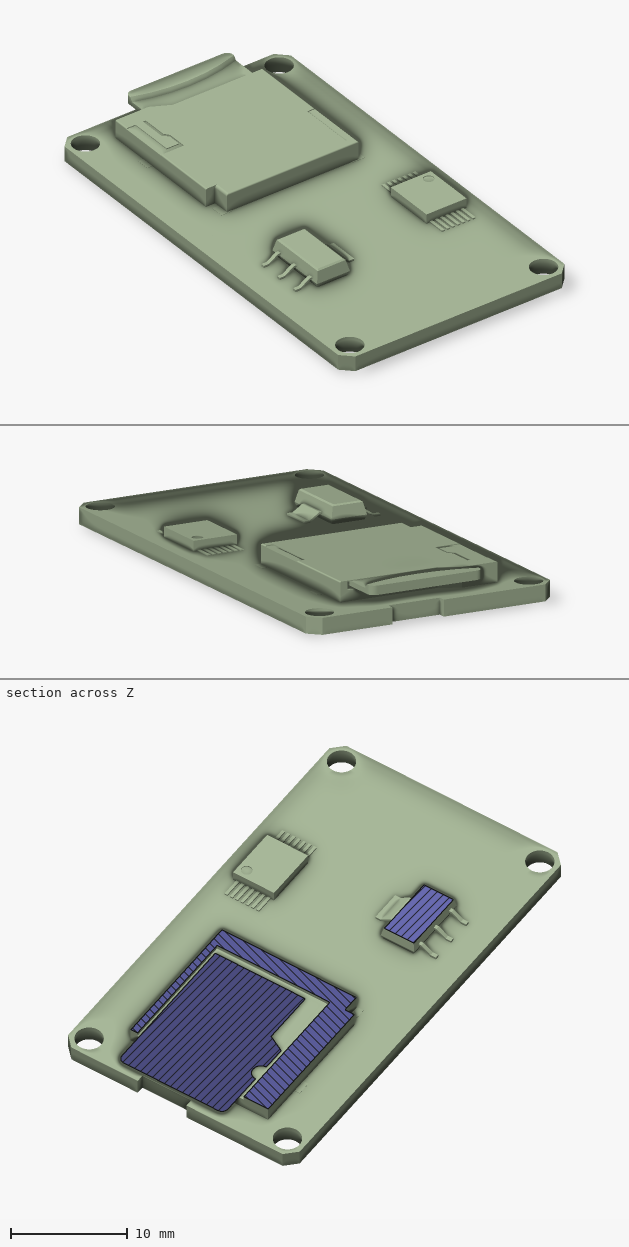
import cadquery as cq
import math

BOARD_LENGTH = 42.0
BOARD_WIDTH = 24.0
BOARD_THICKNESS = 1.5
BOARD_CORNER = 1.05
HOLE_DIAMETER = 2.5
HOLE_INSET = 1.72
NOTCH_DEPTH = 0.7
NOTCH_WIDTH = 5.05
NOTCH_Y = 1.55

PAD_COUNT = 6
PAD_DIAMETER = 1.3
PAD_HEIGHT = 0.3
PAD_PITCH = 2.6
PAD_X = 17.47
PAD_ROW_Y = -0.3

CHIP_LENGTH = 5.2
CHIP_WIDTH = 4.25
CHIP_HEIGHT = 0.95
CHIP_X = 5.38
CHIP_Y = 8.2
CHIP_LEAD_COUNT = 7
CHIP_LEAD_SPAN = 8.8
CHIP_LEAD_WIDTH = 0.3
CHIP_LEAD_HEIGHT = 0.13
CHIP_LEAD_PITCH = 0.55
CHIP_MARK_DIAMETER = 1.0
CHIP_MARK_INSET = 0.85
CHIP_MARK_DEPTH = 0.1

REG_X = 7.45
REG_Y = -5.75
REG_LENGTH = 6.5
REG_WIDTH = 3.5
REG_HEIGHT = 1.75
REG_SEAM_HEIGHT = 0.55
REG_CLEARANCE = 0.1
REG_TOP_INSET = 0.3
REG_BOTTOM_INSET = 0.15
REG_CHAMFER = 0.13
REG_LEAD_COUNT = 3
REG_LEAD_PITCH = 2.3
REG_LEAD_WIDTH = 0.38
REG_TAB_WIDTH = 3.02
LEAD_REACH = 1.72
LEAD_FOOT = 0.55
LEAD_SLOPE = 0.95
LEAD_RISE = 0.65
LEAD_THICKNESS = 0.2

SOCKET_RIGHT = -3.53
SOCKET_FRONT_X = -17.47
SOCKET_NOSE_X = -18.45
SOCKET_BACK_Y = 7.22
SOCKET_FRONT_Y = -7.7
NOSE_TOP_Y = -2.3
NOSE_BOTTOM_Y = -4.2
SOCKET_HEIGHT = 1.85
LID_THICKNESS = 0.1
LID_BEND = 0.13
CAVITY_FLOOR = 1.0
CAVITY_BACK_Y = 6.5
CAVITY_FRONT_Y = -5.12
CAVITY_END_X = -5.3
RECESS_LEFT = -9.85
RECESS_RIGHT = -4.3
RECESS_WIDTH = 0.8
TONGUE_ROOT_X = -16.85
TONGUE_TIP_X = -12.3
TONGUE_FRONT_Y = -6.7
TONGUE_BACK_Y = -5.92
TONGUE_JOG_X = -14.15
TONGUE_JOG = 0.5
SLIT_ROOT_WIDTH = 0.3
SLIT_BACK_WIDTH = 0.15
SLIT_TIP_WIDTH = 0.5
STEP_LENGTH = 1.72
STEP_WIDTH = 0.95
STEP_BEND = 0.25
TAB_WIDTH = 1.35
TAB_HEIGHT = 0.02
TAB_LEFT_X = -13.75
TAB_RIGHT_X = -4.07
TAB_BACK_Y = 7.8
TAB_FRONT_LEFT_Y = -8.25
TAB_FRONT_RIGHT_Y = -7.4
TAB_ROOT = 1.25

CARD_LENGTH = 14.9
CARD_BACK_Y = 6.17
CARD_FRONT_Y = -4.85
CARD_BOTTOM = 1.3
LIP_TOP = 2.15
CARD_CORNER = 0.65
CARD_NARROW_WIDTH = 9.35
LIP_EDGE_X = 0.75
LIP_BULGE = 0.9
LIP_SLOPE = 0.3
CARD_NARROW_START = 8.78
CARD_SHOULDER = 0.9
CARD_NOTCH_X = -15.35
CARD_NOTCH_RADIUS = 0.8

board_left = -BOARD_LENGTH / 2


def box(x_min, x_max, y_min, y_max, z_min, z_max):
    """Block between the given limits along each axis."""
    return cq.Workplane("XY").box(
        x_max - x_min, y_max - y_min, z_max - z_min, centered=False
    ).translate((x_min, y_min, z_min))


def make_bare_board():
    """Drilled board with its top face at Z = 0."""
    board = cq.Workplane("XY").box(
        BOARD_LENGTH, BOARD_WIDTH, BOARD_THICKNESS, centered=(True, True, False)
    ).translate((0, 0, -BOARD_THICKNESS))
    board = board.edges("|Z").chamfer(BOARD_CORNER)
    board = board.faces(">Z").workplane(origin=(0, 0, 0)).rect(
        BOARD_LENGTH - 2 * HOLE_INSET, BOARD_WIDTH - 2 * HOLE_INSET, forConstruction=True
    ).vertices().hole(HOLE_DIAMETER)
    notch = box(
        board_left, board_left + NOTCH_DEPTH,
        NOTCH_Y - NOTCH_WIDTH / 2, NOTCH_Y + NOTCH_WIDTH / 2,
        -BOARD_THICKNESS, 0,
    )
    return board.cut(notch)


def make_pads():
    return cq.Workplane("XY").center(PAD_X, PAD_ROW_Y).rarray(0.4, PAD_PITCH, 1, PAD_COUNT).circle(
        PAD_DIAMETER / 2
    ).extrude(-PAD_HEIGHT).translate((0, 0, -BOARD_THICKNESS))


def make_chip():
    at_chip = cq.Workplane("XY").center(CHIP_X, CHIP_Y)
    body = at_chip.rect(CHIP_LENGTH, CHIP_WIDTH).extrude(CHIP_HEIGHT)
    leads = at_chip.rarray(0.4, CHIP_LEAD_PITCH, 1, CHIP_LEAD_COUNT).rect(
        CHIP_LEAD_SPAN, CHIP_LEAD_WIDTH
    ).extrude(CHIP_LEAD_HEIGHT)
    mark = at_chip.center(
        CHIP_MARK_INSET - CHIP_LENGTH / 2, CHIP_WIDTH / 2 - CHIP_MARK_INSET
    ).circle(CHIP_MARK_DIAMETER / 2).extrude(CHIP_MARK_DEPTH)
    mark = mark.translate((0, 0, CHIP_HEIGHT - CHIP_MARK_DEPTH))
    return body.union(leads).cut(mark)


def make_regulator_lead(width, x, root_y, outward):
    """Gull-wing lead; outward is +1 toward +Y and -1 toward -Y."""
    slope_end = LEAD_REACH - LEAD_FOOT
    slope_start = slope_end - LEAD_SLOPE
    profile = [
        (-LEAD_THICKNESS, LEAD_RISE),
        (slope_start, LEAD_RISE),
        (slope_end, 0),
        (LEAD_REACH, 0),
        (LEAD_REACH, LEAD_THICKNESS),
        (slope_end, LEAD_THICKNESS),
        (slope_start, LEAD_RISE + LEAD_THICKNESS),
        (-LEAD_THICKNESS, LEAD_RISE + LEAD_THICKNESS),
    ]
    points = [(root_y + outward * reach, height) for reach, height in profile]
    return cq.Workplane("YZ").polyline(points).close().extrude(width / 2, both=True).translate((x, 0, 0))


def make_regulator():
    def frustum(inset, z_end):
        """Half of the body, tapering from the seam to z_end."""
        return cq.Workplane("XY").workplane(offset=REG_SEAM_HEIGHT).center(REG_X, REG_Y).rect(
            REG_LENGTH, REG_WIDTH
        ).workplane(offset=z_end - REG_SEAM_HEIGHT).rect(
            REG_LENGTH - 2 * inset, REG_WIDTH - 2 * inset
        ).loft(ruled=True)

    upper = frustum(REG_TOP_INSET, REG_HEIGHT).faces(">Z").chamfer(REG_CHAMFER)
    regulator = upper.union(frustum(REG_BOTTOM_INSET, REG_CLEARANCE))
    for index in range(REG_LEAD_COUNT):
        x = REG_X + (index - (REG_LEAD_COUNT - 1) / 2) * REG_LEAD_PITCH
        regulator = regulator.union(
            make_regulator_lead(REG_LEAD_WIDTH, x, REG_Y - REG_WIDTH / 2, -1)
        )
    return regulator.union(make_regulator_lead(REG_TAB_WIDTH, REG_X, REG_Y + REG_WIDTH / 2, 1))


def make_board():
    return make_bare_board().union(make_pads()).union(make_chip()).union(make_regulator())


def make_spring_slot():
    """Slot in the lid around a spring tongue that is rooted at its -X end."""
    tip_back_y = TONGUE_BACK_Y + TONGUE_JOG
    slot_back_y = tip_back_y + SLIT_BACK_WIDTH
    slot_right = TONGUE_TIP_X + SLIT_TIP_WIDTH
    jog_end_x = TONGUE_JOG_X + TONGUE_JOG
    points = [
        (TONGUE_ROOT_X, TONGUE_BACK_Y + SLIT_ROOT_WIDTH),
        (TONGUE_JOG_X - SLIT_BACK_WIDTH, TONGUE_BACK_Y + SLIT_ROOT_WIDTH),
        (jog_end_x - SLIT_BACK_WIDTH, slot_back_y),
        (slot_right, slot_back_y),
        (slot_right, SOCKET_FRONT_Y),
        (TONGUE_ROOT_X, SOCKET_FRONT_Y),
        (TONGUE_ROOT_X, TONGUE_FRONT_Y),
        (TONGUE_TIP_X, TONGUE_FRONT_Y),
        (TONGUE_TIP_X, tip_back_y),
        (jog_end_x, tip_back_y),
        (TONGUE_JOG_X, TONGUE_BACK_Y),
        (TONGUE_ROOT_X, TONGUE_BACK_Y),
    ]
    return cq.Workplane("XY").polyline(points).close().extrude(LID_THICKNESS).translate(
        (0, 0, SOCKET_HEIGHT - LID_THICKNESS)
    )


def make_corner_step():
    """Corner removed from the socket; the lid bends down along its inner side."""
    step_y = SOCKET_FRONT_Y + STEP_WIDTH
    bend_middle = STEP_BEND * (1 - math.sqrt(0.5))
    step = cq.Workplane("YZ").moveTo(SOCKET_FRONT_Y, 0).lineTo(step_y, 0).lineTo(
        step_y, SOCKET_HEIGHT - STEP_BEND
    ).threePointArc(
        (step_y + bend_middle, SOCKET_HEIGHT - bend_middle), (step_y + STEP_BEND, SOCKET_HEIGHT)
    ).lineTo(SOCKET_FRONT_Y, SOCKET_HEIGHT).close().extrude(STEP_LENGTH)
    return step.translate((SOCKET_RIGHT - STEP_LENGTH, 0, 0))


def make_socket():
    outline = [
        (SOCKET_FRONT_X, SOCKET_BACK_Y),
        (SOCKET_RIGHT, SOCKET_BACK_Y),
        (SOCKET_RIGHT, SOCKET_FRONT_Y),
        (SOCKET_NOSE_X, SOCKET_FRONT_Y),
        (SOCKET_NOSE_X, NOSE_BOTTOM_Y),
        (SOCKET_FRONT_X, NOSE_TOP_Y),
    ]
    socket = cq.Workplane("XY").polyline(outline).close().extrude(SOCKET_HEIGHT)
    socket = socket.faces(">Z").edges("<Y or >Y or >X").fillet(LID_BEND)
    socket = socket.cut(box(
        SOCKET_NOSE_X, CAVITY_END_X, CAVITY_FRONT_Y, CAVITY_BACK_Y,
        CAVITY_FLOOR, SOCKET_HEIGHT - LID_THICKNESS,
    ))
    socket = socket.cut(make_spring_slot())
    socket = socket.cut(make_corner_step())
    socket = socket.cut(box(
        RECESS_LEFT, RECESS_RIGHT, SOCKET_BACK_Y - RECESS_WIDTH, SOCKET_BACK_Y,
        SOCKET_HEIGHT - LID_THICKNESS, SOCKET_HEIGHT,
    ))
    for x, y, inward in [
        (TAB_LEFT_X, TAB_BACK_Y, -1),
        (TAB_RIGHT_X, TAB_BACK_Y, -1),
        (TAB_LEFT_X, TAB_FRONT_LEFT_Y, 1),
        (TAB_RIGHT_X, TAB_FRONT_RIGHT_Y, 1),
    ]:
        y_root = y + inward * TAB_ROOT
        socket = socket.union(box(
            x - TAB_WIDTH / 2, x + TAB_WIDTH / 2, min(y, y_root), max(y, y_root), 0, TAB_HEIGHT,
        ))
    return socket


def make_card():
    card_top = SOCKET_HEIGHT - LID_THICKNESS
    card_right = board_left + CARD_LENGTH
    narrow_y = CARD_BACK_Y - CARD_NARROW_WIDTH
    shoulder_x = board_left + CARD_NARROW_START
    card = cq.Workplane("XY").polyline([
        (board_left, CARD_FRONT_Y),
        (board_left, CARD_BACK_Y),
        (card_right, CARD_BACK_Y),
        (card_right, narrow_y),
        (shoulder_x + CARD_SHOULDER, narrow_y),
        (shoulder_x, CARD_FRONT_Y),
    ]).close().extrude(LIP_TOP - CARD_BOTTOM).translate((0, 0, CARD_BOTTOM))
    card = card.edges("|Z and <X").fillet(CARD_CORNER)
    card = card.cut(
        cq.Workplane("XY").center(CARD_NOTCH_X, CARD_FRONT_Y).circle(CARD_NOTCH_RADIUS).extrude(LIP_TOP)
    )
    middle_y = (CARD_BACK_Y + CARD_FRONT_Y) / 2
    lip_x = board_left + LIP_EDGE_X

    def cutter_wire(plane, offset):
        """Outline of the lowered part of the card, bounded by the curved lip edge."""
        x = lip_x + offset
        return plane.moveTo(x, CARD_BACK_Y).threePointArc(
            (x + LIP_BULGE, middle_y), (x, CARD_FRONT_Y)
        ).lineTo(card_right, CARD_FRONT_Y).lineTo(card_right, CARD_BACK_Y).close()

    lower = cutter_wire(cq.Workplane("XY").workplane(offset=card_top), LIP_SLOPE)
    cutter = cutter_wire(lower.workplane(offset=LIP_TOP - card_top), 0).loft(ruled=True)
    return card.cut(cutter)


board = make_board()
socket = make_socket()
card = make_card()

result = cq.Compound.makeCompound([board.solids().val(), socket.solids().val(), card.solids().val()])